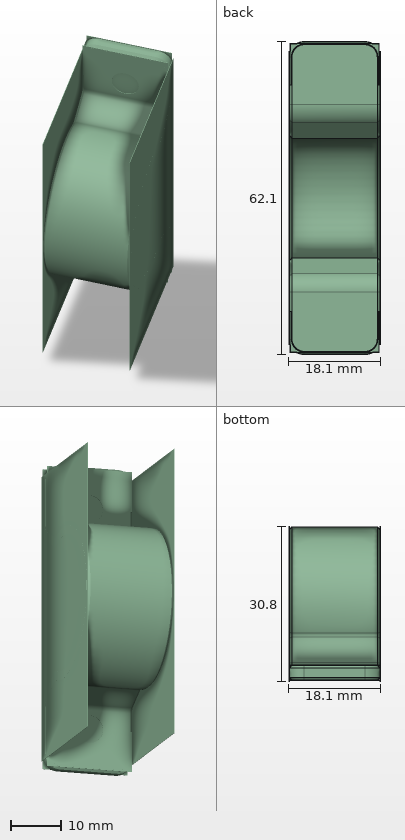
import cadquery as cq
import math

WIDTH = 18.13
DEPTH = 30.75
LENGTH = 62.13

THICKNESS = 3.0
EDGE_CHAMFER = 0.6
CORNER_RADIUS = 3.0
RING_OUTER_RADIUS = 16.1
RING_INNER_RADIUS = RING_OUTER_RADIUS - THICKNESS
JOINT_RADIUS = 1.0
RING_CENTRE_Y = RING_OUTER_RADIUS - DEPTH / 2

SHEET_OVERHANG = 0.23
FLANGE_BACK_Y = DEPTH / 2 - SHEET_OVERHANG
FLANGE_FRONT_Y = FLANGE_BACK_Y - THICKNESS
LEG_ANGLE = math.radians(25.5)
BEND_ANGLE = math.pi / 2 - LEG_ANGLE
BEND_FRONT_RADIUS = 1.0
BEND_BACK_RADIUS = BEND_FRONT_RADIUS + THICKNESS
BEND_FRONT_Z = 18.0
BEND_BACK_Z = BEND_FRONT_Z - THICKNESS * math.tan(BEND_ANGLE / 2)

SCREW_DIAMETER = 5.6
SCREW_Z = 22.5
RECESS_DEPTH = 0.1

SHEET_THICKNESS = 0.1
SHEET_INSET = 0.005
SIDE_SHEET_END_GAP = 2.0
SIDE_SHEET_END_Z = LENGTH / 2 - SIDE_SHEET_END_GAP
FLANGE_SHEET_WIDTH = 17.66
FLANGE_SHEET_END_GAP = 0.4
FLANGE_SHEET_END_Z = LENGTH / 2 - FLANGE_SHEET_END_GAP


def along_leg(corner, distance):
    """Point on a leg line at a distance from its corner towards the ring."""
    y, z = corner
    return (y - distance * math.cos(LEG_ANGLE), z - distance * math.sin(LEG_ANGLE))


def leg_meets_ring(corner, radius):
    """First point where a leg line reaches a ring circle."""
    offset_y = corner[0] - RING_CENTRE_Y
    offset_z = corner[1]
    approach = offset_y * math.cos(LEG_ANGLE) + offset_z * math.sin(LEG_ANGLE)
    miss_squared = offset_y**2 + offset_z**2 - approach**2
    return along_leg(corner, approach - math.sqrt(radius**2 - miss_squared))


def mirrored(point):
    """The same point on the lower half of the profile."""
    return (point[0], -point[1])


def square_strip():
    """Bent strip of full width, its edges and corners still square."""
    front_corner = (FLANGE_FRONT_Y, BEND_FRONT_Z)
    back_corner = (FLANGE_BACK_Y, BEND_BACK_Z)
    front_tangent = BEND_FRONT_RADIUS * math.tan(BEND_ANGLE / 2)
    back_tangent = BEND_BACK_RADIUS * math.tan(BEND_ANGLE / 2)

    front_end = (FLANGE_FRONT_Y, LENGTH / 2)
    front_bend_start = (FLANGE_FRONT_Y, BEND_FRONT_Z + front_tangent)
    front_bend_end = along_leg(front_corner, front_tangent)
    outer_joint = leg_meets_ring(front_corner, RING_OUTER_RADIUS)
    outer_apex = (RING_CENTRE_Y - RING_OUTER_RADIUS, 0)

    back_end = (FLANGE_BACK_Y, LENGTH / 2)
    back_bend_start = (FLANGE_BACK_Y, BEND_BACK_Z + back_tangent)
    back_bend_end = along_leg(back_corner, back_tangent)
    inner_joint = leg_meets_ring(back_corner, RING_INNER_RADIUS)
    inner_apex = (RING_CENTRE_Y - RING_INNER_RADIUS, 0)

    return (
        cq.Workplane("YZ")
        .moveTo(*front_end)
        .lineTo(*front_bend_start)
        .tangentArcPoint(front_bend_end, relative=False)
        .lineTo(*outer_joint)
        .threePointArc(outer_apex, mirrored(outer_joint))
        .lineTo(*mirrored(front_bend_end))
        .tangentArcPoint(mirrored(front_bend_start), relative=False)
        .lineTo(*mirrored(front_end))
        .lineTo(*mirrored(back_end))
        .lineTo(*mirrored(back_bend_start))
        .tangentArcPoint(mirrored(back_bend_end), relative=False)
        .lineTo(*mirrored(inner_joint))
        .threePointArc(inner_apex, inner_joint)
        .lineTo(*back_bend_end)
        .tangentArcPoint(back_bend_start, relative=False)
        .lineTo(*back_end)
        .close()
        .extrude(WIDTH / 2, both=True)
    )


def round_ring_joints(strip):
    """Round the hollow edges where the legs run into the outside of the ring."""
    joint_y, joint_z = leg_meets_ring((FLANGE_FRONT_Y, BEND_FRONT_Z), RING_OUTER_RADIUS)
    for z in (joint_z, -joint_z):
        edge = cq.selectors.NearestToPointSelector((0, joint_y, z))
        strip = strip.edges(edge).fillet(JOINT_RADIUS)
    return strip


def is_rim_edge(edge):
    """True for edges round the strip border, false for bend lines and corner edges."""
    centre = edge.Center()
    at_end = abs(centre.z) > LENGTH / 2 - EDGE_CHAMFER
    at_side = abs(centre.x) > WIDTH / 2 - CORNER_RADIUS
    box = edge.BoundingBox()
    across_flange = edge.geomType() == "LINE" and box.xlen + box.zlen < EDGE_CHAMFER
    return (at_end or at_side) and not across_flange


def bent_strip():
    """Strip with rounded corners and chamfered borders."""
    strip = square_strip().faces("<Z or >Z").edges("|Y").fillet(CORNER_RADIUS)
    strip = round_ring_joints(strip)
    rim = [edge for edge in strip.edges().vals() if is_rim_edge(edge)]
    return strip.newObject(rim).chamfer(EDGE_CHAMFER)


def box_between(x_range, y_range, z_range):
    """Block filling the given coordinate ranges."""
    sizes = [high - low for low, high in (x_range, y_range, z_range)]
    corner = cq.Vector(x_range[0], y_range[0], z_range[0])
    return cq.Workplane("XY").box(*sizes, centered=False).translate(corner)


def side_sheet():
    """Rectangular sheet on the +X side of the strip."""
    outside_x = WIDTH / 2 - SHEET_INSET
    return box_between(
        (outside_x - SHEET_THICKNESS, outside_x),
        (-DEPTH / 2, DEPTH / 2),
        (-SIDE_SHEET_END_Z, SIDE_SHEET_END_Z),
    )


def flange_sheet(low_y):
    """Square-cornered sheet in the upper flange, reaching past its rounded corners."""
    return box_between(
        (-FLANGE_SHEET_WIDTH / 2, FLANGE_SHEET_WIDTH / 2),
        (low_y, low_y + SHEET_THICKNESS),
        (SCREW_Z, FLANGE_SHEET_END_Z),
    )


def screw_recess():
    """Cutter for the recess in the upper flange front face."""
    return (
        cq.Workplane("XZ", origin=(0, FLANGE_FRONT_Y + RECESS_DEPTH, SCREW_Z))
        .circle(SCREW_DIAMETER / 2)
        .extrude(THICKNESS)
    )


def build_clamp():
    """Strip joined with its sheets and marked with the screw recesses."""
    clamp = bent_strip()
    sheets = [
        (side_sheet(), "YZ"),
        (flange_sheet(FLANGE_FRONT_Y + SHEET_INSET), "XY"),
        (flange_sheet(FLANGE_BACK_Y - SHEET_INSET - SHEET_THICKNESS), "XY"),
    ]
    for sheet, mirror_plane in sheets:
        clamp = clamp.union(sheet).union(sheet.mirror(mirror_plane))
    recess = screw_recess()
    return clamp.cut(recess).cut(recess.mirror("XY"))


result = build_clamp()